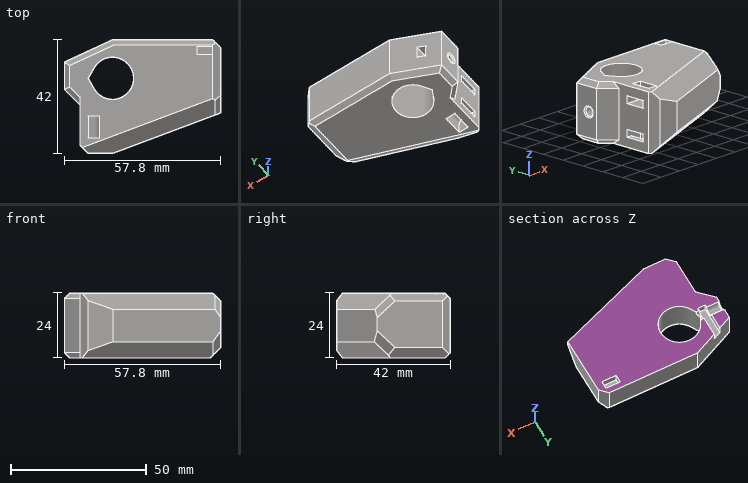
import cadquery as cq
import math

length = 57.75
width = 42.0
height = 24.0
top = height / 2

lower_left = 5.8
nose_front = 23.7
nose_back = 33.7
front_corner = 3.0
slope_start = 17.9
slope_end = 14.95
small_bevel = 2.0
wide_bevel = 6.0
end_bevel_top = 3.0
end_bevel_bottom = 4.0
facet_ratio = 0.75

bore_x = 17.8
bore_y = 27.7
bore_radius = 7.75
tip_half_angle = math.radians(60)

screw_diameter = 3.5
screw_mouth_diameter = 4.5
mouth_depth = (screw_mouth_diameter - screw_diameter) / 2
nut_thickness = 3.0
nut_width = 5.8
nose_nut_x = 5.4
end_nut_x = length - end_bevel_top - nut_width
end_nut_y = 36.5

strap_y = 5.7
strap_width = 8.0
strap_inset = 3.1
strap_leg = 4.05
strap_depth = 4.0
strap_thickness = 3.0
strap_round = 2.0
strap_inner_round = 1.0


def trim(body, point, normal):
    """Remove everything beyond the plane through point, on the normal's side."""
    plane = cq.Plane(origin=point, normal=normal)
    reach = 3 * length
    return body.cut(cq.Workplane(plane).rect(reach, reach).extrude(reach))


def box(x, y, z, dx, dy, dz):
    """Box with its lowest corner at (x, y, z)."""
    return cq.Workplane("XY").box(dx, dy, dz, centered=False).translate((x, y, z))


def make_blank():
    """Extruded outline with small bevels along the nose and the back."""
    outline = [
        (0, nose_front),
        (lower_left, nose_front - lower_left),
        (lower_left, front_corner),
        (lower_left + front_corner, 0),
        (slope_start, 0),
        (length, slope_end),
        (length, width),
        (bore_x, width),
        (0, nose_back),
    ]
    blank = cq.Workplane("XY").workplane(offset=-top).polyline(outline).close().extrude(height)

    beveled_sides = [outline[0:2], outline[6:8], outline[7:9], [outline[8], outline[0]]]
    beveled_edges = []
    for start, end in beveled_sides:
        middle_x = (start[0] + end[0]) / 2
        middle_y = (start[1] + end[1]) / 2
        for z in (-top, top):
            nearest = cq.selectors.NearestToPointSelector((middle_x, middle_y, z))
            beveled_edges.append(blank.edges(nearest).val())
    return blank.newObject(beveled_edges).chamfer(small_bevel)


def bevel_slope_and_end(body):
    """Bevel the sloping side, the right end and the corners where they meet."""
    slope_angle = math.atan2(slope_end, length - slope_start)
    side = cq.Vector(math.sin(slope_angle), -math.cos(slope_angle), 0)
    for up, setback in ((1, end_bevel_top), (-1, end_bevel_bottom)):
        vertical = cq.Vector(0, 0, up)
        slope_normal = (side + vertical).normalized()
        slope_edge = cq.Vector(length, slope_end, up * (top - wide_bevel))
        body = trim(body, slope_edge, slope_normal)

        body = trim(body, (length, 0, up * (top - setback)), (1, 0, up))

        end_normal = cq.Vector(1, 0, 0)
        slope_on_end = cq.Vector(0, slope_normal.y, slope_normal.z).normalized()
        drop = facet_ratio * setback
        body = trim(body, slope_edge - slope_on_end * drop, end_normal + slope_normal)
    return trim(body, (length, width - end_bevel_top, 0), (1, 1, 0))


def make_bore():
    """Vertical bore whose left side runs out along two tangents to a point."""
    tangent_x = bore_x - bore_radius * math.sin(tip_half_angle)
    tangent_y = bore_radius * math.cos(tip_half_angle)
    tip_x = bore_x - bore_radius / math.sin(tip_half_angle)
    return (
        cq.Workplane("XY").workplane(offset=-top)
        .moveTo(tip_x, bore_y)
        .lineTo(tangent_x, bore_y - tangent_y)
        .threePointArc((bore_x + bore_radius, bore_y), (tangent_x, bore_y + tangent_y))
        .close()
        .extrude(height)
    )


def make_screw_hole():
    """Hole along X from the nose face into the bore, with a conical mouth."""
    return (
        cq.Workplane("XY").moveTo(0, bore_y)
        .lineTo(0, bore_y + screw_mouth_diameter / 2)
        .lineTo(mouth_depth, bore_y + screw_diameter / 2)
        .lineTo(bore_x, bore_y + screw_diameter / 2)
        .lineTo(bore_x, bore_y)
        .close()
        .revolve(360, (0, bore_y, 0), (1, bore_y, 0))
    )


def make_strap_channel():
    """L-shaped channel from the left side face to the top face, rounded at its bend."""
    wall_x = lower_left + strap_inset + strap_leg
    floor_z = top - strap_depth - strap_thickness
    side_leg = box(lower_left, strap_y, floor_z, wall_x - lower_left, strap_width, strap_thickness)
    top_leg = box(wall_x - strap_leg, strap_y, floor_z, strap_leg, strap_width, top - floor_z)
    middle_y = strap_y + strap_width / 2
    outer_bend = cq.selectors.NearestToPointSelector((wall_x, middle_y, floor_z))
    inner_bend = cq.selectors.NearestToPointSelector(
        (wall_x - strap_leg, middle_y, floor_z + strap_thickness)
    )
    channel = side_leg.union(top_leg).edges(outer_bend).fillet(strap_round)
    return channel.edges(inner_bend).fillet(strap_inner_round)


nose_nut_y = bore_y - nut_width / 2
nose_nut_trap = box(
    nose_nut_x, nose_nut_y, -nut_width / 2, nut_thickness, width - nose_nut_y, nut_width
)
end_nut_trap = box(
    end_nut_x, end_nut_y, -nut_width / 2, nut_width, nut_thickness, top + nut_width / 2
)
strap_channel = make_strap_channel()

result = (
    bevel_slope_and_end(make_blank())
    .cut(make_bore())
    .cut(make_screw_hole())
    .cut(nose_nut_trap)
    .cut(end_nut_trap)
    .cut(strap_channel)
    .cut(strap_channel.mirror("XY"))
)